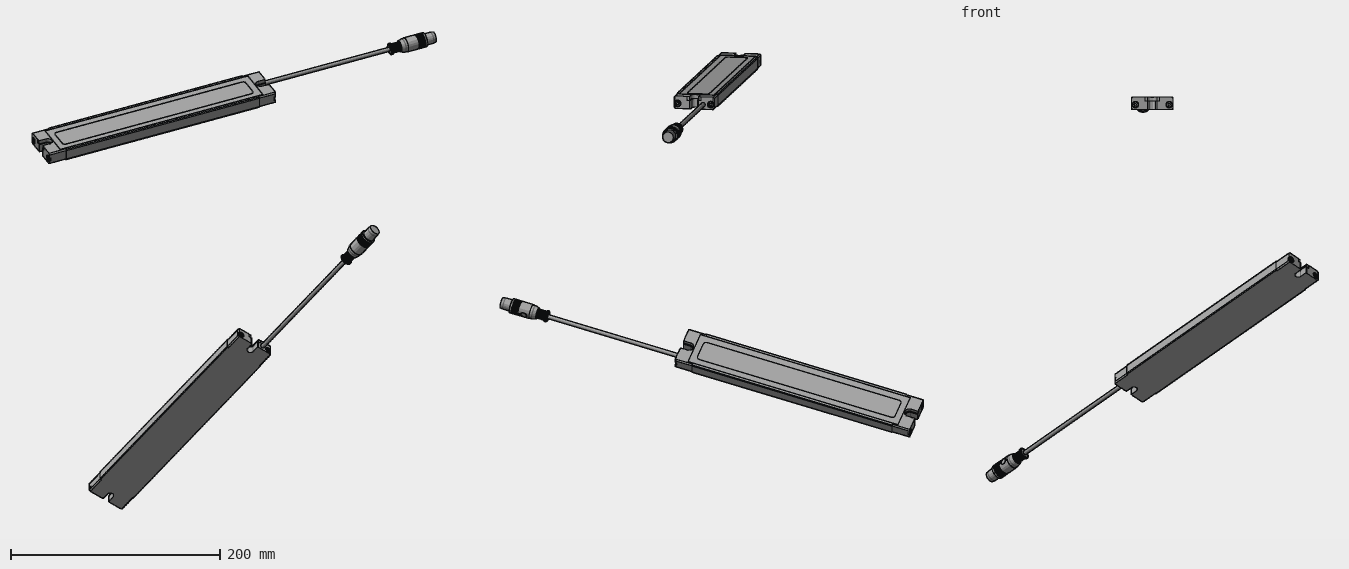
import cadquery as cq

housing_width = 40.0
housing_length = 239.5
housing_height = 12.0
cap_length = 17.5
cap_width = 39.5
cap_edge_chamfer = 1.3
profile_chamfer_width = 0.5
profile_chamfer_height = 1.3

surface_step = 0.5
panel_width = 34.0
panel_end_margin = 12.5
window_width = 21.5
window_end_margin = 19.0
window_corner_radius = 3.0

slot_width = 6.5
slot_depth = 10.5
slot_step_width = 9.0
slot_step_depth = 11.8
slot_step_drop = 3.8
slot_mouth_width = 9.0
slot_step_mouth_width = 14.0
slot_mouth_depth = 0.2

screw_offset = 16.15
screw_z = -1.3
screw_hole_radius = 3.15
screw_hole_depth = 1.5
screw_head_radius = 2.5
screw_head_recess = 0.5
screw_socket_size = 2.5

total_length = 420.0
axis_x = -9.0
axis_z = -1.45
cable_radius = 2.0
cable_embed = 2.0
plug_radius = 7.0

tip_taper_end = 3.0
nut_start = 10.0
knurl_start = 12.0
knurl_end = 17.5
grip_start = 19.0
grip_step = 30.2
grip_end = 32.8
relief_start = 36.5
flange_start = 45.5
flange_end = 46.5
plug_length = 47.5

tip_end_radius = 5.25
tip_radius = 5.65
neck_radius = 6.5
grip_rear_radius = 6.7
relief_radius = 4.5
flange_radius = 5.65

knurl_count = 24
knurl_width = 1.0
knurl_depth = 0.65
relief_groove_count = 5
relief_groove_width = 1.0
relief_groove_depth = 0.65
button_radius = 3.15
button_position = 24.8
button_offset = 6.1
pointer_width = 1.3
pointer_offset = 6.7

top_z = housing_height / 2
end_y = housing_length / 2
plug_tip_y = total_length - end_y


def make_profile():
    """Extruded bar with steeply chamfered long edges, between the end caps."""
    side = housing_width / 2
    flat = side - profile_chamfer_width
    shoulder = top_z - profile_chamfer_height
    upper_right = [(flat, top_z), (side, shoulder)]
    right = upper_right + [(x, -z) for x, z in reversed(upper_right)]
    left = [(-x, z) for x, z in reversed(right)]
    return (
        cq.Workplane("XZ")
        .polyline(right + left)
        .close()
        .extrude(end_y - cap_length, both=True)
    )


def make_cap():
    """End cap at the +Y end, with chamfered long edges."""
    cap = cq.Workplane("XY").box(cap_width, cap_length, housing_height)
    cap = cap.translate((0, end_y - cap_length / 2, 0))
    return cap.edges("|Y").chamfer(cap_edge_chamfer)


def corner_cutter(side):
    """Triangular prism that bevels one upright corner at the +Y end; side is 1 or -1."""
    corner_x = side * cap_width / 2
    return (
        cq.Workplane("XY", origin=(0, 0, -top_z))
        .moveTo(corner_x, end_y)
        .lineTo(corner_x - side * cap_edge_chamfer, end_y)
        .lineTo(corner_x, end_y - cap_edge_chamfer)
        .close()
        .extrude(housing_height)
    )


def cut_panel_and_window(body):
    panel_length = housing_length - 2 * panel_end_margin
    panel = (
        cq.Workplane("XY", origin=(0, 0, top_z - surface_step))
        .rect(panel_width, panel_length)
        .extrude(surface_step)
    )
    window = (
        cq.Workplane("XY", origin=(0, 0, top_z - 2 * surface_step))
        .rect(window_width, housing_length - 2 * window_end_margin)
        .extrude(surface_step)
        .edges("|Z")
        .fillet(window_corner_radius)
    )
    return body.cut(panel).cut(window)


def slot_cutter(width, depth, bottom_z):
    """Round-ended slot entering from the +Y end and open at the top."""
    half = width / 2
    straight_end = end_y - depth + half
    return (
        cq.Workplane("XY", origin=(0, 0, bottom_z))
        .moveTo(-half, end_y)
        .lineTo(-half, straight_end)
        .threePointArc((0, end_y - depth), (half, straight_end))
        .lineTo(half, end_y)
        .close()
        .extrude(top_z - bottom_z)
    )


def mouth_cutter(width, bottom_z, height):
    """Shallow recess in the +Y end face around the opening of a slot."""
    return (
        cq.Workplane("XZ", origin=(0, end_y, bottom_z + height / 2))
        .rect(width, height)
        .extrude(slot_mouth_depth)
    )


def screw_cutter(x):
    """Ring-shaped recess around a screw head with a hexagonal socket, at the +Y end."""
    def face(recess):
        return cq.Workplane("XZ", origin=(x, end_y - recess, screw_z))

    hole = face(screw_hole_depth).circle(screw_hole_radius).extrude(-screw_hole_depth)
    head_height = screw_hole_depth - screw_head_recess
    head = face(screw_hole_depth).circle(screw_head_radius).extrude(-head_height)
    socket = face(screw_hole_depth).polygon(6, screw_socket_size).extrude(-screw_hole_depth)
    return hole.cut(head).union(socket)


def make_housing():
    cap = make_cap()
    body = make_profile().union(cap).union(cap.mirror("XZ"))
    body = cut_panel_and_window(body)
    step_z = top_z - slot_step_drop
    cutters = [
        slot_cutter(slot_width, slot_depth, -top_z),
        slot_cutter(slot_step_width, slot_step_depth, step_z),
        mouth_cutter(slot_mouth_width, -top_z, step_z + top_z),
        mouth_cutter(slot_step_mouth_width, step_z, slot_step_drop),
        screw_cutter(screw_offset),
        screw_cutter(-screw_offset),
    ]
    for cutter in cutters:
        body = body.cut(cutter).cut(cutter.mirror("XZ"))
    return body.cut(corner_cutter(1)).cut(corner_cutter(-1))


def axis_cylinder(radius, start, end):
    """Cylinder on the plug axis between two distances from the free end."""
    return (
        cq.Workplane("XZ", origin=(axis_x, plug_tip_y - start, axis_z))
        .circle(radius)
        .extrude(end - start)
    )


def cut_knurl(plug):
    """Axial grooves spaced evenly around the coupling nut."""
    groove = (
        cq.Workplane("XY")
        .box(2 * knurl_depth, knurl_end - knurl_start, knurl_width)
        .translate((plug_radius, plug_tip_y - (knurl_start + knurl_end) / 2, 0))
    )
    for index in range(knurl_count):
        angle = index * 360 / knurl_count
        turned = groove.rotate((0, 0, 0), (0, 1, 0), angle)
        plug = plug.cut(turned.translate((axis_x, 0, axis_z)))
    return plug


def cut_relief_grooves(plug):
    """Ring grooves along the strain relief."""
    pitch = (flange_start - relief_start) / relief_groove_count
    for index in range(relief_groove_count):
        start = relief_start + (index + 0.5) * pitch - relief_groove_width / 2
        end = start + relief_groove_width
        ring = axis_cylinder(relief_radius, start, end)
        ring = ring.cut(axis_cylinder(relief_radius - relief_groove_depth, start, end))
        plug = plug.cut(ring)
    return plug


def cut_button(plug):
    """Round flat-bottomed pocket on the -X side of the grip, with a pointer groove towards the nut."""
    button_y = plug_tip_y - button_position
    button = (
        cq.Workplane("YZ", origin=(axis_x - button_offset, button_y, axis_z))
        .circle(button_radius)
        .extrude(-plug_radius)
    )
    pointer_length = button_position - grip_start
    pointer = (
        cq.Workplane("YZ", origin=(axis_x - pointer_offset, button_y + pointer_length / 2, axis_z))
        .rect(pointer_length, pointer_width)
        .extrude(-plug_radius)
    )
    return plug.cut(button).cut(pointer)


def make_plug():
    """Stepped round plug with a tapered rear end."""
    outline = [
        (0, 0),
        (tip_end_radius, 0),
        (tip_radius, tip_taper_end),
        (tip_radius, nut_start),
        (plug_radius, nut_start),
        (plug_radius, knurl_end),
        (neck_radius, grip_start),
        (plug_radius, grip_start),
        (plug_radius, grip_step),
        (grip_rear_radius, grip_step),
        (grip_rear_radius, grip_end),
        (tip_radius, relief_start),
        (relief_radius, relief_start),
        (relief_radius, flange_start),
        (flange_radius, flange_start),
        (flange_radius, flange_end),
        (relief_radius, flange_end),
        (relief_radius, plug_length),
        (0, plug_length),
    ]
    plug = (
        cq.Workplane("XY")
        .polyline([(radius, -distance) for radius, distance in outline])
        .close()
        .revolve(360, (0, 0, 0), (0, 1, 0))
        .translate((axis_x, plug_tip_y, axis_z))
    )
    return cut_button(cut_relief_grooves(cut_knurl(plug)))


cable_start = plug_length - cable_embed
cable_end = total_length - housing_length + cable_embed
cable = axis_cylinder(cable_radius, cable_start, cable_end)
result = make_housing().union(cable).union(make_plug())